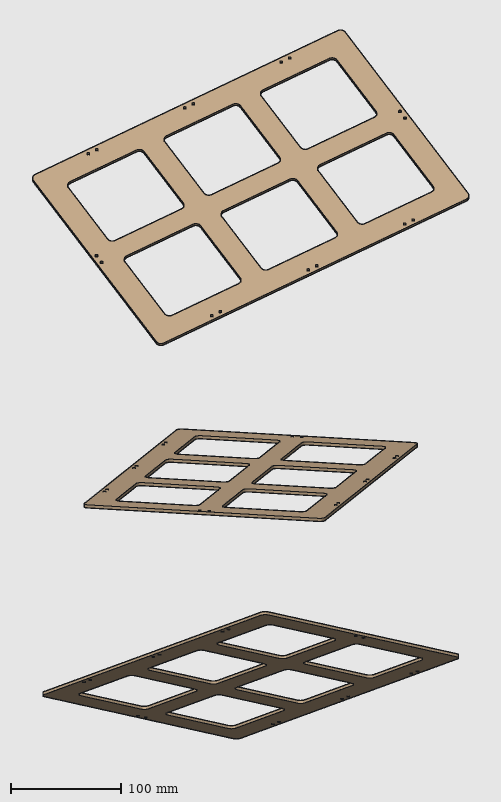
import cadquery as cq

PLATE_WIDTH = 226.0
PLATE_LENGTH = 330.0
PLATE_THICKNESS = 3.0
PLATE_CORNER_RADIUS = 5.0

WINDOW_COLUMNS = 2
WINDOW_ROWS = 3
WINDOW_WIDTH = 78.8
WINDOW_LENGTH = 80.0
WINDOW_CORNER_RADIUS = 5.0
COLUMN_PITCH = 100.2
ROW_PITCH = 102.0
WIDE_WINDOW_EXTRA = 0.8

HOLE_DIAMETER = 2.5
HOLE_SPACING = 9.0
HOLE_INSET = 4.5


def column_x(column):
    """X of the centre of a window column, counted from -X."""
    return (column - (WINDOW_COLUMNS - 1) / 2) * COLUMN_PITCH


def row_y(row):
    """Y of the centre of a window row, counted from -Y."""
    return (row - (WINDOW_ROWS - 1) / 2) * ROW_PITCH


def make_plate():
    """Flat rectangular plate with rounded corners."""
    plate = cq.Workplane("XY").rect(PLATE_WIDTH, PLATE_LENGTH).extrude(PLATE_THICKNESS)
    return plate.edges("|Z").fillet(PLATE_CORNER_RADIUS)


def make_window(column, row):
    """Rounded rectangular block that cuts one window."""
    is_wide = column == WINDOW_COLUMNS - 1 and row == 0
    extra = WIDE_WINDOW_EXTRA if is_wide else 0.0
    window = (
        cq.Workplane("XY")
        .center(column_x(column) - extra / 2, row_y(row))
        .rect(WINDOW_WIDTH + extra, WINDOW_LENGTH)
        .extrude(PLATE_THICKNESS)
    )
    return window.edges("|Z").fillet(WINDOW_CORNER_RADIUS)


def rim_hole_centres():
    """Hole pairs: one per window row on each long side, one midway on each short side."""
    side_x = PLATE_WIDTH / 2 - HOLE_INSET
    end_y = PLATE_LENGTH / 2 - HOLE_INSET
    half_spacing = HOLE_SPACING / 2
    centres = []
    for side in (-1, 1):
        for offset in (-half_spacing, half_spacing):
            centres.append((offset, side * end_y))
            for row in range(WINDOW_ROWS):
                centres.append((side * side_x, row_y(row) + offset))
    return centres


def make_rim_holes():
    """Cylinders that cut the rim holes through the plate."""
    return (
        cq.Workplane("XY")
        .pushPoints(rim_hole_centres())
        .circle(HOLE_DIAMETER / 2)
        .extrude(PLATE_THICKNESS)
    )


result = make_plate()
for column in range(WINDOW_COLUMNS):
    for row in range(WINDOW_ROWS):
        result = result.cut(make_window(column, row))
result = result.cut(make_rim_holes())